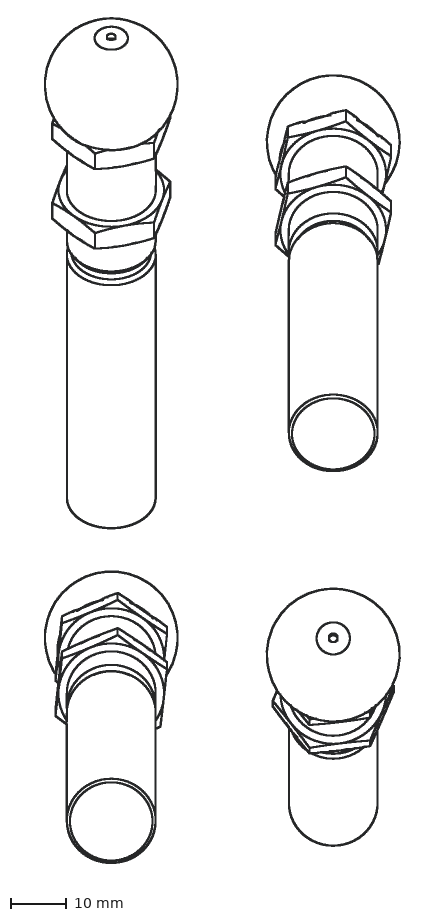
import cadquery as cq
import math

TOTAL_HEIGHT = 115.4
BALL_DIAMETER = 24.0
SEAT_HEIGHT = 96.3

NECK_DIAMETER = 6.0
CENTER_HOLE_DIAMETER = 1.6
CENTER_HOLE_DEPTH = 1.2

SHANK_DIAMETER = 16.0
END_DIAMETER = 14.9
END_CHAMFER_HEIGHT = 0.3
GROOVE_DIAMETER = 14.4
GROOVE_BOTTOM = 61.0
GROOVE_FLOOR_BOTTOM = 61.7
GROOVE_FLOOR_TOP = 63.2
GROOVE_TOP = 64.5

HEX_SIDES = 6
ACROSS_FLATS = 19.0
HEX_HEIGHT = 5.0
HEX_CHAMFER_ANGLE = 20.0
COLLAR_BOTTOM = 92.0
NUT_BOTTOM = 72.1

ball_radius = BALL_DIAMETER / 2
hole_radius = CENTER_HOLE_DIAMETER / 2
ball_center = TOTAL_HEIGHT - math.sqrt(ball_radius**2 - hole_radius**2)
across_corners = ACROSS_FLATS / math.cos(math.pi / HEX_SIDES)
collar_top = COLLAR_BOTTOM + HEX_HEIGHT


def revolve_profile(points):
    """Revolve a closed (radius, height) outline about the Z axis."""
    return cq.Workplane("XZ").polyline(points).close().revolve(360, (0, 0), (0, 1))


def make_hexagon(bottom):
    """Hexagonal block with corners on +Y and -Y, chamfered at both ends."""
    prism = (
        cq.Workplane("XY", origin=(0, 0, bottom))
        .polygon(HEX_SIDES, across_corners)
        .extrude(HEX_HEIGHT)
        .rotate((0, 0, 0), (0, 0, 1), 180 / HEX_SIDES)
    )
    corner_radius = across_corners / 2
    face_radius = ACROSS_FLATS / 2
    drop = (corner_radius - face_radius) * math.tan(math.radians(HEX_CHAMFER_ANGLE))
    top = bottom + HEX_HEIGHT
    envelope = revolve_profile(
        [
            (0, bottom),
            (face_radius, bottom),
            (corner_radius, bottom + drop),
            (corner_radius, top - drop),
            (face_radius, top),
            (0, top),
        ]
    )
    return prism.intersect(envelope)


def make_shank(top):
    """Round shank with a chamfered lower end and a groove with sloped sides."""
    shank_radius = SHANK_DIAMETER / 2
    groove_radius = GROOVE_DIAMETER / 2
    return revolve_profile(
        [
            (0, 0),
            (END_DIAMETER / 2, 0),
            (shank_radius, END_CHAMFER_HEIGHT),
            (shank_radius, GROOVE_BOTTOM),
            (groove_radius, GROOVE_FLOOR_BOTTOM),
            (groove_radius, GROOVE_FLOOR_TOP),
            (shank_radius, GROOVE_TOP),
            (shank_radius, top),
            (0, top),
        ]
    )


def make_sphere():
    """Full sphere, revolved about the Z axis."""
    return (
        cq.Workplane("XZ", origin=(0, 0, ball_center))
        .moveTo(0, -ball_radius)
        .threePointArc((ball_radius, 0), (0, ball_radius))
        .close()
        .revolve(360, (0, 0), (0, 1))
    )


def make_ball():
    """Ball with a flat underside and a through bore for the neck of the stud."""
    above_seat = cq.Workplane("XY", origin=(0, 0, SEAT_HEIGHT)).circle(ball_radius).extrude(BALL_DIAMETER)
    return make_sphere().intersect(above_seat).cut(make_neck_blank())


def make_neck_blank():
    """Plain cylinder from the ball seat to beyond the top of the ball."""
    return (
        cq.Workplane("XY", origin=(0, 0, SEAT_HEIGHT))
        .circle(NECK_DIAMETER / 2)
        .extrude(BALL_DIAMETER)
    )


def make_neck():
    """Neck through the ball, domed flush with it, with a blind centre hole."""
    center_hole = (
        cq.Workplane("XY", origin=(0, 0, TOTAL_HEIGHT - CENTER_HOLE_DEPTH))
        .circle(hole_radius)
        .extrude(2 * CENTER_HOLE_DEPTH)
    )
    return make_neck_blank().intersect(make_sphere()).cut(center_hole)


def make_stud(ball):
    """Shank, hexagonal collar recessed to seat the ball, and neck."""
    base = make_shank(collar_top).union(make_hexagon(COLLAR_BOTTOM))
    seat_recess = ball.union(make_neck_blank())
    return base.cut(seat_recess).union(make_neck())


def make_nut():
    """Lock nut around the shank."""
    bore = (
        cq.Workplane("XY", origin=(0, 0, NUT_BOTTOM))
        .circle(SHANK_DIAMETER / 2)
        .extrude(HEX_HEIGHT)
    )
    return make_hexagon(NUT_BOTTOM).cut(bore)


ball = make_ball()
stud = make_stud(ball)
nut = make_nut()
result = cq.Compound.makeCompound([ball.val(), stud.val(), nut.val()])